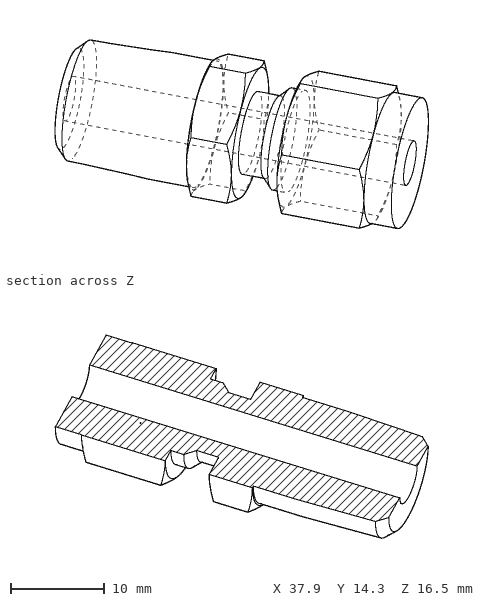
import cadquery as cq
import math

across_flats = 14.3
across_corners = across_flats / math.cos(math.radians(30))
bore_radius = 2.42

nose_end = 1.1
taper_end = 10.2
body_hex_start = 15.05
body_hex_end = 20.1
collar_cone_start = 22.6
collar_start = 23.65
nut_start = 25.15
nut_hex_end = 34.82
total_length = 37.85

nose_radius = 5.53
taper_small_radius = 6.6
shank_radius = 6.9
neck_radius = 4.5
collar_radius = 5.55
nut_rim_radius = 7.1

chamfer_length = 0.53
chamfer_face_radius = 7.1


def hexagon(start, end):
    """Hexagonal prism along X, corners at +Z and -Z, trimmed by a cone at each end."""
    corner_radius = across_corners / 2
    prism = (
        cq.Workplane("YZ", origin=(start, 0, 0))
        .polygon(6, across_corners)
        .extrude(end - start)
        .rotate((0, 0, 0), (1, 0, 0), 90)
    )
    trim = (
        cq.Workplane("XY")
        .moveTo(start, 0)
        .lineTo(start, chamfer_face_radius)
        .lineTo(start + chamfer_length, corner_radius)
        .lineTo(end - chamfer_length, corner_radius)
        .lineTo(end, chamfer_face_radius)
        .lineTo(end, 0)
        .close()
        .revolve(360, (0, 0, 0), (1, 0, 0))
    )
    return prism.intersect(trim)


core_profile = [
    (0, 0),
    (0, nose_radius),
    (nose_end, taper_small_radius),
    (taper_end, shank_radius),
    (body_hex_start, shank_radius),
    (body_hex_start, neck_radius),
    (collar_cone_start, neck_radius),
    (collar_start, collar_radius),
    (nut_hex_end, collar_radius),
    (nut_hex_end, nut_rim_radius),
    (total_length, nut_rim_radius),
    (total_length, 0),
]
core = cq.Workplane("XY").polyline(core_profile).close().revolve(360, (0, 0, 0), (1, 0, 0))

bore = cq.Workplane("YZ").circle(bore_radius).extrude(total_length)

body_hex = hexagon(body_hex_start, body_hex_end)
nut_hex = hexagon(nut_start, nut_hex_end)
result = core.union(body_hex).union(nut_hex).cut(bore)